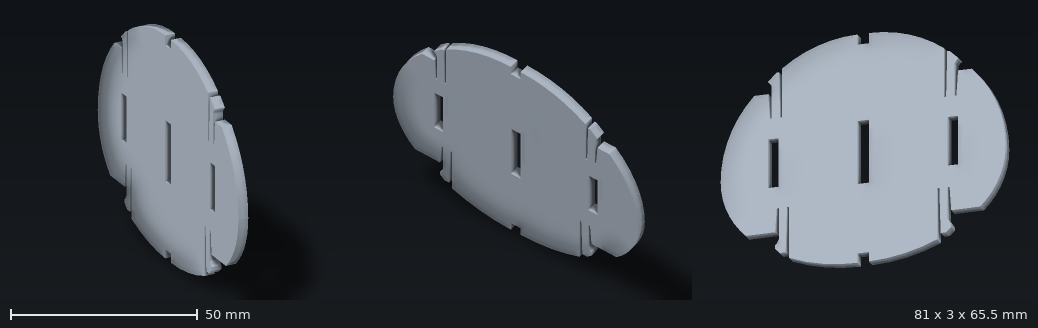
import cadquery as cq
import math

length = 80.95
thickness = 3.0

notch_half = 1.6
top_crown_z = 33.9
top_shoulder_x = 23.0
top_shoulder_z = 26.9
top_notch_floor = 31.0
bottom_crown_z = -31.65
bottom_shoulder_x = 21.05
bottom_shoulder_z = -27.8
bottom_notch_floor = -29.0

wing_apex_x = length / 2
wing_apex_z = -3.6
wing_top_x = 30.9
wing_top_z = 20.0
wing_bottom_x = 33.3
wing_bottom_z = -19.9

top_gap_floor = 12.9
top_clip_root_inner = 23.55
top_clip_tip_inner = 23.9
top_clip_tip_outer = 24.5
top_clip_tip_z = 25.9
top_barb_x = 26.95
top_barb_tip_z = 23.6
top_barb_neck_z = 23.4
top_kink_x = 26.5
top_kink_z = 23.0
top_clip_outer = 26.0
top_neck_z = 22.1
top_wing_root_x = 26.5
top_wing_edge_x = 26.95

bottom_gap_floor = -13.1
bottom_clip_root_inner = 21.6
bottom_clip_tip_inner = 22.0
bottom_clip_tip_outer = 23.55
bottom_clip_tip_z = -26.1
bottom_barb_x = 25.0
bottom_barb_tip_z = -24.7
bottom_barb_neck_z = -23.6
bottom_kink_x = 24.45
bottom_kink_z = -23.1
bottom_clip_outer = 24.0
bottom_neck_z = -22.1
bottom_wing_root_x = 24.5
bottom_wing_edge_x = 25.0

center_slot_height = 18.05
side_slot_x = 25.5
side_slot_width = 3.0
side_slot_height = 13.9


def arc_middle(start, end):
    """Midpoint of the circular arc leaving start horizontally (in the first coordinate)."""
    run = end[0] - start[0]
    drop = end[1] - start[1]
    radius = (run**2 + drop**2) / (2 * abs(drop))
    half_angle = math.atan2(abs(drop), abs(run))
    middle_run = math.copysign(radius * math.sin(half_angle), run)
    middle_drop = math.copysign(radius * (1 - math.cos(half_angle)), drop)
    return start[0] + middle_run, start[1] + middle_drop


def wing_arc_middle(end):
    """Midpoint of the wing arc that is tangent to vertical at the wing apex."""
    z, x = arc_middle((wing_apex_z, wing_apex_x), (end[1], end[0]))
    return x, z


def half_plate():
    """The +X half of the plate, outlined clockwise from the top notch."""
    top_shoulder = (top_shoulder_x, top_shoulder_z)
    bottom_shoulder = (bottom_shoulder_x, bottom_shoulder_z)
    wing_apex = (wing_apex_x, wing_apex_z)
    wing_top = (wing_top_x, wing_top_z)
    wing_bottom = (wing_bottom_x, wing_bottom_z)
    top_crown = (notch_half, top_crown_z)
    bottom_crown = (notch_half, bottom_crown_z)

    upper_clip = [
        (top_shoulder_x, top_gap_floor),
        (top_clip_root_inner, top_gap_floor),
        (top_clip_tip_inner, top_clip_tip_z),
        (top_clip_tip_outer, top_clip_tip_z),
        (top_barb_x, top_barb_tip_z),
        (top_barb_x, top_barb_neck_z),
        (top_kink_x, top_kink_z),
        (top_clip_outer, top_neck_z),
        (top_clip_outer, top_gap_floor),
        (top_wing_root_x, top_gap_floor),
        (top_wing_edge_x, wing_top_z),
    ]
    lower_clip = [
        (bottom_wing_edge_x, wing_bottom_z),
        (bottom_wing_root_x, bottom_gap_floor),
        (bottom_clip_outer, bottom_gap_floor),
        (bottom_clip_outer, bottom_neck_z),
        (bottom_kink_x, bottom_kink_z),
        (bottom_barb_x, bottom_barb_neck_z),
        (bottom_barb_x, bottom_barb_tip_z),
        (bottom_clip_tip_outer, bottom_clip_tip_z),
        (bottom_clip_tip_inner, bottom_clip_tip_z),
        (bottom_clip_root_inner, bottom_gap_floor),
        (bottom_shoulder_x, bottom_gap_floor),
    ]

    outline = (
        cq.Workplane("XZ")
        .moveTo(0, top_notch_floor)
        .lineTo(notch_half, top_notch_floor)
        .lineTo(*top_crown)
        .threePointArc(arc_middle(top_crown, top_shoulder), top_shoulder)
    )
    for point in upper_clip:
        outline = outline.lineTo(*point)
    outline = (
        outline.lineTo(*wing_top)
        .threePointArc(wing_arc_middle(wing_top), wing_apex)
        .threePointArc(wing_arc_middle(wing_bottom), wing_bottom)
    )
    for point in lower_clip:
        outline = outline.lineTo(*point)
    outline = (
        outline.lineTo(*bottom_shoulder)
        .threePointArc(arc_middle(bottom_crown, bottom_shoulder), bottom_crown)
        .lineTo(notch_half, bottom_notch_floor)
        .lineTo(0, bottom_notch_floor)
        .close()
    )
    return outline.extrude(thickness / 2, both=True)


def slot(x, width, height):
    """Cutter for a rectangular slot through the plate, centred on Z = 0."""
    return cq.Workplane("XY").box(width, 2 * thickness, height).translate((x, 0, 0))


half = half_plate()
plate = half.union(half.mirror("YZ")).clean()
plate = plate.cut(slot(0, 2 * notch_half, center_slot_height))
for side in (-1, 1):
    plate = plate.cut(slot(side * side_slot_x, side_slot_width, side_slot_height))

result = plate